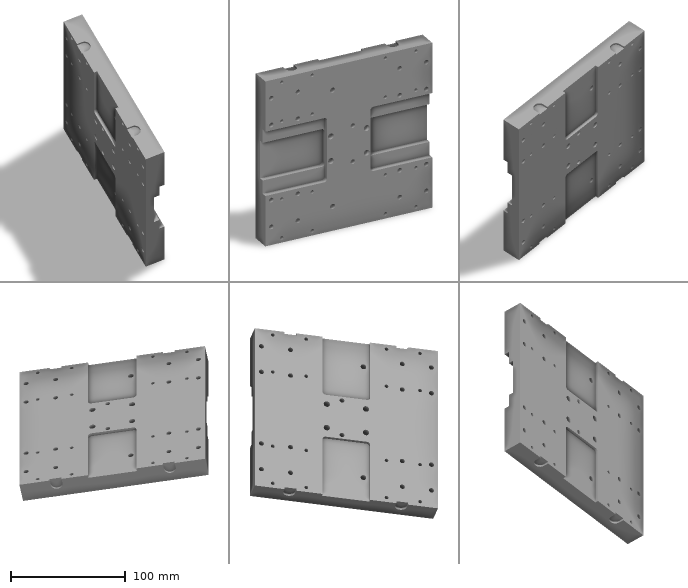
import cadquery as cq

WIDTH = 164.0
THICKNESS = 18.0
HEIGHT = 160.0
FRONT_Y = -THICKNESS / 2
BACK_Y = THICKNESS / 2

LAND_SIZE = 42.6
CORNER_RADIUS = 3.0
FRONT_POCKET_DEPTH = 3.0
BACK_OUTER_WIDTH = 62.3
BACK_OUTER_DEPTH = 5.0
BACK_INNER_WIDTH = 36.5
BACK_INNER_DEPTH = 2 * BACK_OUTER_DEPTH

NOTCH_X = 50.0
NOTCH_WIDTH = 10.5
NOTCH_REACH = 10.0
NOTCH_DEPTH = 2.0

RAIL_HOLE_DIAMETER = 4.5
RAIL_HOLE_PITCH = 26.0
RAIL_HOLE_X = NOTCH_X
RAIL_HOLE_Z = 36.4
SMALL_HOLE_DIAMETER = 3.3
SMALL_HOLE_X = (35.9, 66.0)
SMALL_HOLE_Z = (37.7, 75.5)

LAND_HOLE_DIAMETER = 5.5
LAND_HOLE_X = 17.5
LAND_HOLE_Z = 12.0
PIN_HOLE_DIAMETER = 4.3
PIN_HOLE_X = -4.0
PIN_HOLE_Z = 17.5
POCKET_HOLE_DIAMETER = 5.0
POCKET_HOLE_X = 15.9
POCKET_HOLE_Z = 56.4

SIDES = (-1, 1)


def block(x_range, y_range, z_range):
    """Box spanning the given (low, high) range on each axis."""
    ranges = (x_range, y_range, z_range)
    sizes = [high - low for low, high in ranges]
    centre = tuple((low + high) / 2 for low, high in ranges)
    return cq.Workplane("XY").box(*sizes).translate(centre)


def front_pocket():
    """Upper front pocket, open at the top edge of the plate."""
    pocket = block(
        (-LAND_SIZE / 2, LAND_SIZE / 2),
        (FRONT_Y, FRONT_Y + FRONT_POCKET_DEPTH),
        (LAND_SIZE / 2, HEIGHT / 2),
    )
    return pocket.faces("<Z").edges("|Y").fillet(CORNER_RADIUS)


def back_pocket_step(width, depth):
    """One level of the left back pocket, open at the -X side of the plate."""
    step = block(
        (-WIDTH / 2, -LAND_SIZE / 2),
        (BACK_Y - depth, BACK_Y),
        (-width / 2, width / 2),
    )
    return step.faces(">X").edges("|Y").fillet(CORNER_RADIUS)


def back_pocket():
    """Stepped pocket: a wide shallow level with a narrower, deeper one inside."""
    outer = back_pocket_step(BACK_OUTER_WIDTH, BACK_OUTER_DEPTH)
    inner = back_pocket_step(BACK_INNER_WIDTH, BACK_INNER_DEPTH)
    return outer.union(inner)


def edge_notch(x):
    """Notch in the top edge, open at the front face and rounded towards the back."""
    radius = NOTCH_WIDTH / 2
    tip_y = FRONT_Y + NOTCH_REACH
    return (
        cq.Workplane("XY", origin=(0, 0, HEIGHT / 2))
        .moveTo(x - radius, FRONT_Y)
        .lineTo(x - radius, tip_y - radius)
        .threePointArc((x, tip_y), (x + radius, tip_y - radius))
        .lineTo(x + radius, FRONT_Y)
        .close()
        .extrude(-NOTCH_DEPTH)
    )


def mirrored_points(xs, zs):
    """All combinations of +-x and +-z."""
    return [(sx * x, sz * z) for x in xs for z in zs for sx in SIDES for sz in SIDES]


def through_holes(points, diameter):
    """Cylinders along Y through the whole plate at the given (x, z) points."""
    return (
        cq.Workplane("XZ", origin=(0, BACK_Y, 0))
        .pushPoints(points)
        .circle(diameter / 2)
        .extrude(THICKNESS)
    )


result = cq.Workplane("XY").box(WIDTH, THICKNESS, HEIGHT)

result = result.cut(front_pocket()).cut(front_pocket().mirror("XY"))
result = result.cut(back_pocket()).cut(back_pocket().mirror("YZ"))

for side in SIDES:
    notch = edge_notch(side * NOTCH_X)
    result = result.cut(notch).cut(notch.mirror("XY"))

rail_points = mirrored_points(
    (RAIL_HOLE_X, RAIL_HOLE_X + RAIL_HOLE_PITCH),
    (RAIL_HOLE_Z, RAIL_HOLE_Z + RAIL_HOLE_PITCH),
)
small_points = mirrored_points(SMALL_HOLE_X, SMALL_HOLE_Z)
land_points = mirrored_points((LAND_HOLE_X,), (LAND_HOLE_Z,))
pin_points = [(PIN_HOLE_X, side * PIN_HOLE_Z) for side in SIDES]
pocket_points = [(POCKET_HOLE_X, side * POCKET_HOLE_Z) for side in SIDES]

result = result.cut(through_holes(rail_points, RAIL_HOLE_DIAMETER))
result = result.cut(through_holes(small_points, SMALL_HOLE_DIAMETER))
result = result.cut(through_holes(land_points, LAND_HOLE_DIAMETER))
result = result.cut(through_holes(pin_points, PIN_HOLE_DIAMETER))
result = result.cut(through_holes(pocket_points, POCKET_HOLE_DIAMETER))